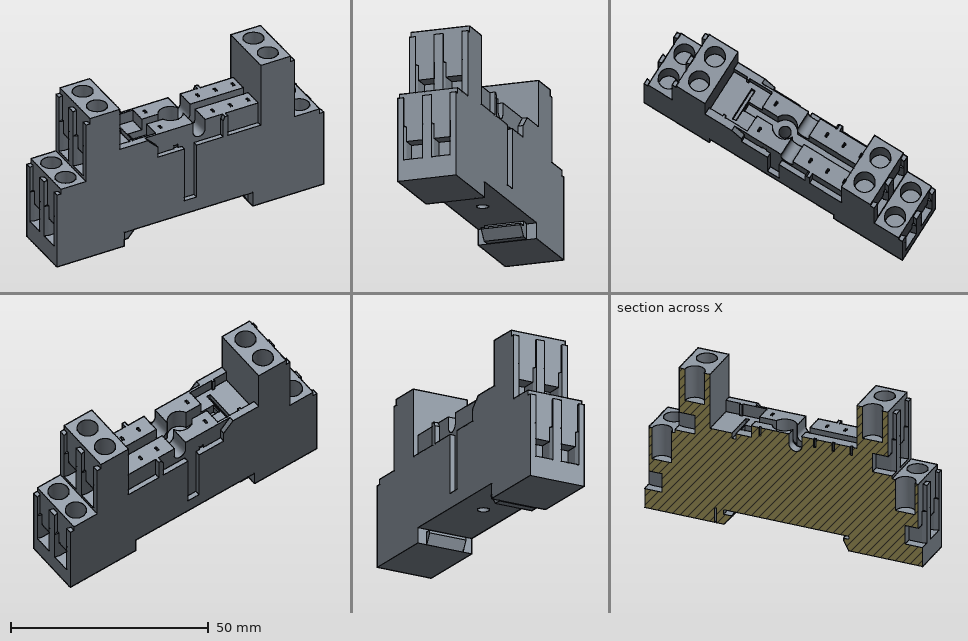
import cadquery as cq

width = 15.8
length = 77.0
height = 42.3
half_width = width / 2
half_length = length / 2

deck_z = 30.0
lower_top_z = 23.4
tower_inner_y = 20.3
tower_outer_y = 30.1
lip_depth = 1.15
upper_lip_z = 40.65
lower_lip_z = 22.0

rail_z = 4.15
rail_y_fixed = 18.0
rail_y_spring = -19.0
hook_width = 10.6
spring_gap = 0.4
fixed_hook_reach = 1.5
fixed_hook_z = 2.8
fixed_hook_top_z = 3.5
spring_hook_stem = 2.1
spring_hook_reach = 4.2
spring_hook_z = 2.6
spring_hook_top_z = 3.0

terminal_pitch = 7.5
terminal_x = terminal_pitch / 2
screw_diameter = 5.3
screw_inset_upper = 5.5
screw_inset_lower = 4.8
entry_half_width = 2.55
entry_taper = 0.35
upper_entry_floor_z = 24.25
lower_entry_floor_z = 5.55
entry_shoulder_height = 9.0
wire_pocket_height = 5.15

side_wall_x = 6.55
shelf_z = 24.0
rib_y_back = 10.85
rib_y_front = 9.5
rib_chamfer_y = 0.55
rib_chamfer_z = 1.15
side_slot_y_back = 1.8
side_slot_y_front = -1.7
side_slot_z = 8.2
recess_y_front = -9.4
recess_chamfer = 2.9
window_y = -3.5
window_width = 1.15
window_height = 0.9
window_depth = 0.4

channel_width = 2.55
channel_y_front = -12.9
mount_y = -1.4
mount_radius = 1.55
mount_recess_radius = 3.15
cross_groove_y_front = 1.55
cross_groove_width = 3.5
cross_groove_z = 25.4
pin_x = 3.9
pin_rows = (18.8, 13.7, 8.6, -6.55)
pin_length = 1.15
pin_width = 0.55
pin_depth = 2.3
pocket_half_width = 5.9
pocket_y_back = -8.9
pocket_z = 26.8
tab_y = -15.95
tab_length = 0.7
tab_depth = 0.55
slit_y = -13.7
slit_width = 1.0
slit_length = 9.1
slit_depth = 1.55


def box(x0, x1, y0, y1, z0, z1):
    """Box given by its limits along each axis."""
    return cq.Workplane("XY").box(x1 - x0, y1 - y0, z1 - z0, centered=False).translate((x0, y0, z0))


def side_prism(points, x0, x1):
    """Outline of (y, z) points extruded from x0 to x1."""
    return cq.Workplane("YZ").polyline(points).close().extrude(x1 - x0).translate((x0, 0, 0))


def both_sides(solid):
    """The solid together with its mirror image across the X = 0 plane."""
    return solid.union(solid.mirror("YZ"))


def body():
    half_outline = [
        (half_length, 0),
        (half_length, lower_lip_z),
        (half_length - lip_depth, lower_lip_z),
        (half_length - lip_depth, lower_top_z),
        (tower_outer_y, lower_top_z),
        (tower_outer_y, upper_lip_z),
        (tower_outer_y - lip_depth, upper_lip_z),
        (tower_outer_y - lip_depth, height),
        (tower_inner_y, height),
        (tower_inner_y, deck_z),
    ]
    other_half = [(-y, z) for y, z in reversed(half_outline)]
    block = side_prism(half_outline + other_half, -half_width, half_width)
    return block.cut(box(-half_width, half_width, rail_y_spring, rail_y_fixed, 0, rail_z))


def rail_hooks():
    fixed_nose_y = rail_y_fixed - fixed_hook_reach
    fixed = [
        (rail_y_fixed, 0),
        (fixed_nose_y, fixed_hook_z),
        (fixed_nose_y, fixed_hook_top_z),
        (rail_y_fixed, fixed_hook_top_z),
    ]
    spring_y = rail_y_spring + spring_gap
    stem_y = spring_y + spring_hook_stem
    spring_nose_y = spring_y + spring_hook_reach
    spring = [
        (spring_y, 0),
        (stem_y, 0),
        (spring_nose_y, spring_hook_z),
        (spring_nose_y, spring_hook_top_z),
        (stem_y, spring_hook_top_z),
        (stem_y, rail_z),
        (spring_y, rail_z),
    ]
    hooks = side_prism(fixed, -hook_width / 2, hook_width / 2)
    return hooks.union(side_prism(spring, -hook_width / 2, hook_width / 2))


def entry_slot(face_y, back_half_width, z0, z1):
    """Slot through the lip at the +Y end, tapering from the face to its back."""
    back_y = face_y - lip_depth
    outline = [
        (terminal_x - entry_half_width, face_y),
        (terminal_x + entry_half_width, face_y),
        (terminal_x + back_half_width, back_y),
        (terminal_x - back_half_width, back_y),
    ]
    return cq.Workplane("XY").polyline(outline).close().extrude(z1 - z0).translate((0, 0, z0))


def terminal(face_y, screw_inset, top_z, lip_z, floor_z):
    """Tapered entry slot, wire pocket and blind screw hole above it, at +X and +Y."""
    shoulder_z = floor_z + entry_shoulder_height
    ceiling_z = floor_z + wire_pocket_height
    inner_half_width = entry_half_width - entry_taper
    screw_y = face_y - screw_inset
    upper_slot = entry_slot(face_y, entry_half_width + entry_taper, shoulder_z, lip_z)
    lower_slot = entry_slot(face_y, inner_half_width, floor_z, shoulder_z)
    wire_pocket = box(
        terminal_x - inner_half_width, terminal_x + inner_half_width,
        screw_y, face_y - lip_depth, floor_z, ceiling_z,
    )
    screw = cq.Workplane("XY").circle(screw_diameter / 2).extrude(top_z - shoulder_z)
    screw = screw.translate((terminal_x, screw_y, shoulder_z))
    return upper_slot.union(lower_slot).union(wire_pocket).union(screw)


def terminals():
    upper = terminal(tower_outer_y, screw_inset_upper, height, upper_lip_z, upper_entry_floor_z)
    lower = terminal(half_length, screw_inset_lower, lower_top_z, lower_lip_z, lower_entry_floor_z)
    pair = both_sides(upper.union(lower))
    return pair.union(pair.mirror("XZ"))


def side_recesses():
    rear = box(side_wall_x, half_width, rib_y_back, tower_inner_y, shelf_z, deck_z)
    front_outline = [
        (rib_y_front + rib_chamfer_y, deck_z),
        (rib_y_front, deck_z - rib_chamfer_z),
        (rib_y_front, shelf_z),
        (side_slot_y_back, shelf_z),
        (side_slot_y_back, side_slot_z),
        (side_slot_y_front, side_slot_z),
        (side_slot_y_front, shelf_z),
        (recess_y_front, shelf_z),
        (recess_y_front, deck_z - recess_chamfer),
        (recess_y_front - recess_chamfer, deck_z),
    ]
    front = side_prism(front_outline, side_wall_x, half_width)
    window = box(
        side_wall_x - window_depth, side_wall_x,
        window_y - window_width / 2, window_y + window_width / 2,
        shelf_z, shelf_z + window_height,
    )
    return both_sides(rear.union(front).union(window))


def channel_and_mount():
    channel = box(
        -channel_width / 2, channel_width / 2, channel_y_front, tower_inner_y, shelf_z, deck_z,
    )
    recess = cq.Workplane("XY").circle(mount_recess_radius).extrude(deck_z - shelf_z)
    recess = recess.translate((0, mount_y, shelf_z))
    hole = cq.Workplane("XY").circle(mount_radius).extrude(deck_z).translate((0, mount_y, 0))
    return channel.union(recess).union(hole)


def cross_groove():
    """Round-bottomed groove across the deck."""
    radius = cross_groove_width / 2
    arc_z = cross_groove_z + radius
    y0 = cross_groove_y_front
    y1 = y0 + cross_groove_width
    groove = (
        cq.Workplane("YZ")
        .moveTo(y0, deck_z)
        .lineTo(y0, arc_z)
        .threePointArc((y0 + radius, cross_groove_z), (y1, arc_z))
        .lineTo(y1, deck_z)
        .close()
    )
    return groove.extrude(half_width, both=True)


def pin_slots():
    places = [(x, y) for x in (-pin_x, pin_x) for y in pin_rows]
    slots = cq.Workplane("XY").pushPoints(places).rect(pin_length, pin_width).extrude(pin_depth)
    return slots.translate((0, 0, deck_z - pin_depth))


def front_pocket():
    """Pocket in front of the deck blocks, with wall tabs and a cross slit in its floor."""
    pocket = box(
        -pocket_half_width, pocket_half_width, -tower_inner_y, pocket_y_back, pocket_z, deck_z,
    )
    tab = box(
        pocket_half_width - tab_depth, pocket_half_width,
        tab_y - tab_length / 2, tab_y + tab_length / 2, pocket_z, deck_z,
    )
    slit = box(
        -slit_length / 2, slit_length / 2,
        slit_y - slit_width / 2, slit_y + slit_width / 2, pocket_z - slit_depth, pocket_z,
    )
    return pocket.cut(both_sides(tab)).union(slit)


result = body().union(rail_hooks())
for cutter in (
    terminals(),
    side_recesses(),
    channel_and_mount(),
    cross_groove(),
    pin_slots(),
    front_pocket(),
):
    result = result.cut(cutter)